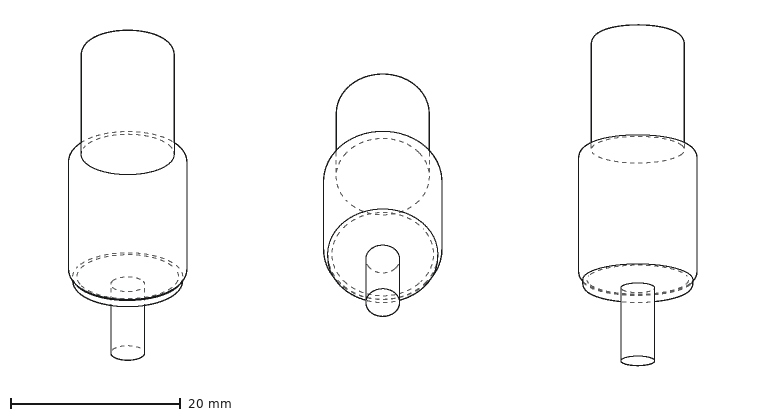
import cadquery as cq

total_height = 40.0
stem_diameter = 4.0
stem_length = 9.0
collar_diameter = 13.0
collar_height = 1.0
collar_fillet = collar_height / 2
body_diameter = 14.0
body_height = 16.0
head_diameter = 11.0
edge_fillet = 1.0

collar_bottom = stem_length
body_bottom = collar_bottom + collar_height
body_top = body_bottom + body_height


def cylinder(diameter, bottom, top):
    """Solid cylinder on the Z axis between two levels."""
    return cq.Workplane("XY").workplane(offset=bottom).circle(diameter / 2).extrude(top - bottom)


stem = cylinder(stem_diameter, 0, collar_bottom)
collar = cylinder(collar_diameter, collar_bottom, body_bottom).faces("<Z").edges().fillet(collar_fillet)
body = cylinder(body_diameter, body_bottom, body_top).edges("%CIRCLE").fillet(edge_fillet)
head = cylinder(head_diameter, body_top, total_height).faces(">Z").edges().fillet(edge_fillet)

result = stem.union(collar).union(body).union(head)